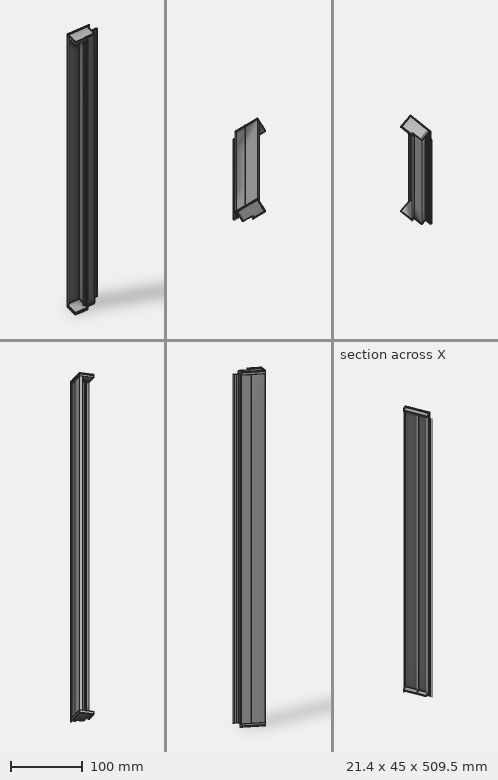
import cadquery as cq

TOTAL_WIDTH = 21.4
TOTAL_DEPTH = 45.0
TOTAL_HEIGHT = 509.5
PROFILE_LENGTH = 500.0
CAP_THICKNESS = (TOTAL_HEIGHT - PROFILE_LENGTH) / 2

WALL = 0.8
SIDE_WALL_DEPTH = 37.1
BACK_Y = 35.4
BOX_WIDTH = 17.6
SHELF_BACK_Y = 20.9
SHELF_FRONT_Y = SHELF_BACK_Y - WALL
LIP_WIDTH = 4.7

RIB_LEFT_X = 14.6
RIB_THICKNESS = 1.5
RIB_HEIGHT = 3.0

FIN_CENTER_X = 8.6
BARB_HALF_WIDTH = 1.6
NECK_HALF_WIDTH = 0.9
FIRST_BARB_Y = 37.6
BARB_PITCH = 2.7
BARB_COUNT = 3

CAP_RIM = 1.2
CAP_FLOOR_THICKNESS = 3.1
CAP_ROUNDING = 3.0


def block(x_min, x_max, y_min, y_max, z_min, z_max):
    """Box given by its limits along each axis."""
    size = (x_max - x_min, y_max - y_min, z_max - z_min)
    return cq.Workplane("XY").box(*size, centered=False).translate((x_min, y_min, z_min))


def profile_bar(x_min, x_max, y_min, y_max):
    """Rectangular strip of the section, as long as the profile."""
    return block(x_min, x_max, y_min, y_max, -PROFILE_LENGTH / 2, PROFILE_LENGTH / 2)


def barbed_fin():
    """Fin with saw-tooth barbs on both sides that narrow towards +Y."""
    right_side = [(NECK_HALF_WIDTH, BACK_Y - WALL / 2), (NECK_HALF_WIDTH, FIRST_BARB_Y)]
    for barb in range(BARB_COUNT):
        barb_y = FIRST_BARB_Y + barb * BARB_PITCH
        right_side.append((BARB_HALF_WIDTH, barb_y))
        right_side.append((NECK_HALF_WIDTH, min(barb_y + BARB_PITCH, TOTAL_DEPTH)))
    left_side = [(-x, y) for x, y in reversed(right_side)]
    outline = [(FIN_CENTER_X + x, y) for x, y in right_side + left_side]
    fin = cq.Workplane("XY").polyline(outline).close().extrude(PROFILE_LENGTH)
    return fin.translate((0, 0, -PROFILE_LENGTH / 2))


def make_profile():
    """Thin-walled strip: side wall with a front lip, closed box behind the shelf, barbed fin."""
    side_wall = profile_bar(0, WALL, 0, SIDE_WALL_DEPTH)
    front_lip = profile_bar(0, LIP_WIDTH, 0, WALL)
    shelf = profile_bar(0, TOTAL_WIDTH, SHELF_FRONT_Y, SHELF_BACK_Y)
    rib_right_x = RIB_LEFT_X + RIB_THICKNESS
    shelf_rib = profile_bar(RIB_LEFT_X, rib_right_x, SHELF_FRONT_Y - RIB_HEIGHT, SHELF_BACK_Y)
    box_wall = profile_bar(BOX_WIDTH - WALL, BOX_WIDTH, SHELF_FRONT_Y, BACK_Y)
    back_wall = profile_bar(0, BOX_WIDTH, BACK_Y - WALL, BACK_Y)
    profile = side_wall
    for strip in (front_lip, shelf, shelf_rib, box_wall, back_wall, barbed_fin()):
        profile = profile.union(strip)
    return profile


def make_cap(end):
    """Tray-shaped cap closing one profile end: end is +1 for the top and -1 for the bottom."""
    inner_z = PROFILE_LENGTH / 2
    floor_z = inner_z + CAP_FLOOR_THICKNESS
    outer_z = inner_z + CAP_THICKNESS
    cap = block(0, CAP_RIM, 0, SIDE_WALL_DEPTH, inner_z, outer_z)
    for width, depth in ((BOX_WIDTH, BACK_Y), (TOTAL_WIDTH, SHELF_BACK_Y)):
        floor = block(0, width, 0, depth, inner_z, floor_z)
        cap = cap.union(floor.edges(">Y and >Z").fillet(CAP_ROUNDING))
    front_rim = block(0, TOTAL_WIDTH, 0, CAP_RIM, inner_z, outer_z)
    right_rim = block(TOTAL_WIDTH - CAP_RIM, TOTAL_WIDTH, 0, SHELF_BACK_Y, inner_z, outer_z)
    cap = cap.union(front_rim).union(right_rim)
    if end < 0:
        cap = cap.mirror("XY")
    return cap


profile = make_profile()
caps = [make_cap(end) for end in (1, -1)]

result = cq.Compound.makeCompound([profile.val(), *[cap.val() for cap in caps]])